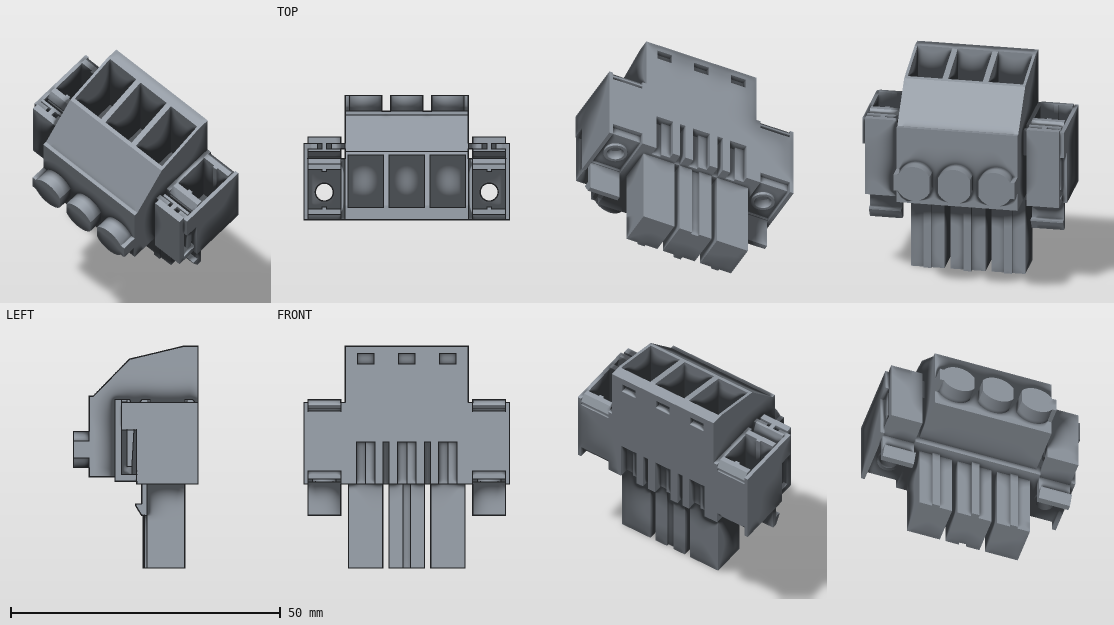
import cadquery as cq


POLE_PITCH = 7.6
POLE_CENTRES = [-POLE_PITCH, 0, POLE_PITCH]

BLOCK_WIDTH = 3 * POLE_PITCH
HEIGHT = 41.15
BLOCK_DEPTH = 20.15
BODY_BOTTOM = 15.55
REAR_BOTTOM = 16.9
BACK_HEIGHT = 31.85
BACK_LEDGE = 0.75
BEND_Y = 12.7
BEND_Z = 38.72
TOP_LAND = 2.6

FUNNEL_WIDTH = 6.55
FUNNEL_FRONT = 2.3
FUNNEL_BACK = 12.0
FUNNEL_FLOOR = 24.7

WINDOW_WIDTH = 3.1
WINDOW_BOTTOM = 37.8
WINDOW_TOP = 39.75
WINDOW_DEPTH = 1.1

OUTER_PLUG_WIDTH = 6.38
MIDDLE_PLUG_WIDTH = 6.63
PLUG_FRONT = 2.43
PLUG_BACK = 9.45
PLUG_KEY_WIDTH = 1.5
PLUG_GROOVE_DEPTH = 0.5
MIDDLE_KEY_HEIGHT = 0.7
OUTER_KEY_HEIGHT = 0.4

SLOT_TOP = 23.4
SLOT_WIDTH = 3.45
SLOT_SHALLOW_DEPTH = 1.3
SLOT_DEEP_DEPTH = 1.9
GAP_INNER_X = MIDDLE_PLUG_WIDTH / 2
GAP_OUTER_X = POLE_PITCH - OUTER_PLUG_WIDTH / 2

WIDTH = 38.1
FLANGE_TOP = 30.7
FLANGE_DEPTH = 11.35
CLIP_WIDTH = 6.1
FLANGE_WALL = 0.75
FLANGE_CENTRE = WIDTH / 2 - FLANGE_WALL - CLIP_WIDTH / 2
NOTCH_TOP = 29.1
NOTCH_BOTTOM = 18.0

LEVER_WALL_FRONT = 13.15
LEVER_WALL_BACK = 14.15
LEVER_WALL_BOTTOM = 25.65
LEVER_SLOT_WIDTH = 2.6

CLIP_TOP = 31.25
CLIP_BOTTOM = 9.75
CLIP_FRONT = 1.0
CLIP_POCKET_FRONT = 2.0
CLIP_POCKET_BACK = 9.3
CLIP_BACK = 10.35
HOOK_CHAMFER_END = 30.0
HOOK_UNDERSIDE = 29.63
CLIP_FLOOR_TOP = 18.0
CLIP_FLOOR_BOTTOM = 16.5
BOSS_BOTTOM = 15.95
BOSS_DIAMETER = 4.4
SCREW_DIAMETER = 3.3
SCREW_Y = 5.15
GUIDE_WIDTH = 0.85
GUIDE_DEPTH = 0.35
LEG_FRONT = 9.45
LEG_BACK = 10.45
BARB_TIP = 11.55
BARB_TOP = 11.9
BARB_LAND = 0.33
LEVER_BACK = 15.4
LEVER_BOTTOM = 16.1
LEVER_FOOT_TOP = 17.32
PAD_TOP_FRONT = 12.67
PAD_NOSE_Y = 11.7
PAD_NOSE_Z = 28.95
PAD_BOTTOM = 18.85
PAD_BOTTOM_FRONT = 12.25

BUTTON_RADIUS = 3.37
BUTTON_FLAT_WIDTH = 6.0
BUTTON_LENGTH = 2.92
BUTTON_Z = 21.97
GUARD_HEIGHT = 3.2


def box(x_range, y_range, z_range):
    """Box between the given limits along each axis."""
    lengths = [high - low for low, high in (x_range, y_range, z_range)]
    corner = (x_range[0], y_range[0], z_range[0])
    return cq.Workplane("XY").box(*lengths, centered=False).translate(corner)


def centred(middle, width):
    """Limits of a span of the given width about its middle."""
    return (middle - width / 2, middle + width / 2)


def extruded_profile(points, x_range):
    """Prism along X over a (Y, Z) outline."""
    prism = cq.Workplane("YZ").polyline(points).close().extrude(x_range[1] - x_range[0])
    return prism.translate((x_range[0], 0, 0))


def z_cylinder(x, y, diameter, z_range):
    disc = cq.Workplane("XY").center(x, y).circle(diameter / 2)
    return disc.extrude(z_range[1] - z_range[0]).translate((0, 0, z_range[0]))



def housing_block():
    outline = [
        (0, BODY_BOTTOM),
        (FLANGE_DEPTH, BODY_BOTTOM),
        (FLANGE_DEPTH, REAR_BOTTOM),
        (BLOCK_DEPTH, REAR_BOTTOM),
        (BLOCK_DEPTH, BACK_HEIGHT),
        (BLOCK_DEPTH - BACK_LEDGE, BACK_HEIGHT),
        (BEND_Y, BEND_Z),
        (TOP_LAND, HEIGHT),
        (0, HEIGHT),
    ]
    return extruded_profile(outline, centred(0, BLOCK_WIDTH))


def plug(x):
    """Downward plug with a key on its back; the middle one is also grooved in front."""
    is_middle = x == 0
    width = MIDDLE_PLUG_WIDTH if is_middle else OUTER_PLUG_WIDTH
    key_height = MIDDLE_KEY_HEIGHT if is_middle else OUTER_KEY_HEIGHT
    z_range = (0, BODY_BOTTOM)
    key_x = centred(x, PLUG_KEY_WIDTH)
    body = box(centred(x, width), (PLUG_FRONT, PLUG_BACK), z_range)
    body = body.union(box(key_x, (PLUG_BACK, PLUG_BACK + key_height), z_range))
    if is_middle:
        body = body.cut(box(key_x, (PLUG_FRONT, PLUG_FRONT + PLUG_GROOVE_DEPTH), z_range))
    return body


def wire_funnel(x):
    return box(centred(x, FUNNEL_WIDTH), (FUNNEL_FRONT, FUNNEL_BACK), (FUNNEL_FLOOR, HEIGHT))


def test_window(x):
    return box(centred(x, WINDOW_WIDTH), (0, WINDOW_DEPTH), (WINDOW_BOTTOM, WINDOW_TOP))


def coding_slot(x):
    """Slot in the lower front face whose left half is deeper."""
    left, right = centred(x, SLOT_WIDTH)
    z_range = (BODY_BOTTOM, SLOT_TOP)
    shallow = box((x, right), (0, SLOT_SHALLOW_DEPTH), z_range)
    deep = box((left, x), (0, SLOT_DEEP_DEPTH), z_range)
    return shallow.union(deep)


def gap_slot(side):
    """Narrow slot above the gap between two plugs."""
    x_range = sorted((side * GAP_INNER_X, side * GAP_OUTER_X))
    return box(x_range, (0, PLUG_FRONT), (BODY_BOTTOM, SLOT_TOP))


def flange(side):
    """Screw flange: a frame open above and below, with a lever wall behind it."""
    x = side * FLANGE_CENTRE
    outer_x = side * WIDTH / 2
    block_x = side * BLOCK_WIDTH / 2
    clip_x = centred(x, CLIP_WIDTH)
    full_x = sorted((block_x, outer_x))
    side_x = sorted((outer_x - side * FLANGE_WALL, outer_x))

    frame = box(full_x, (0, FLANGE_DEPTH), (BODY_BOTTOM, FLANGE_TOP))
    frame = frame.cut(box(clip_x, (CLIP_FRONT, CLIP_BACK), (BODY_BOTTOM, FLANGE_TOP)))
    frame = frame.cut(box(clip_x, (0, FLANGE_DEPTH), (NOTCH_TOP, FLANGE_TOP)))
    frame = frame.cut(box(clip_x, (0, FLANGE_DEPTH), (BODY_BOTTOM, NOTCH_BOTTOM)))

    wall_z = (LEVER_WALL_BOTTOM, FLANGE_TOP)
    wall_y = (LEVER_WALL_FRONT, LEVER_WALL_BACK)
    lever_wall = box(full_x, wall_y, wall_z).cut(box(centred(x, LEVER_SLOT_WIDTH), wall_y, wall_z))
    link = box(side_x, (FLANGE_DEPTH, LEVER_WALL_BACK), wall_z)
    return frame.union(link).union(lever_wall)


def button_guard(side):
    """Small block on the back face beside an outer button."""
    button_edge = side * (POLE_PITCH + BUTTON_FLAT_WIDTH / 2)
    x_range = sorted((button_edge, side * BLOCK_WIDTH / 2))
    y_range = (BLOCK_DEPTH, BLOCK_DEPTH + BUTTON_LENGTH)
    return box(x_range, y_range, centred(BUTTON_Z, GUARD_HEIGHT))


def make_housing():
    housing = housing_block()
    for side in (-1, 1):
        housing = housing.union(flange(side)).union(button_guard(side))
    for x in POLE_CENTRES:
        housing = housing.union(plug(x))
    for x in POLE_CENTRES:
        housing = housing.cut(wire_funnel(x)).cut(test_window(x)).cut(coding_slot(x))
    for side in (-1, 1):
        housing = housing.cut(gap_slot(side))
    return housing



def clip_shell(x_range):
    """Hooked box, barbed leg and thumb lever as one profile."""
    outline = [
        (CLIP_FRONT, CLIP_FLOOR_BOTTOM),
        (CLIP_FRONT, HOOK_UNDERSIDE),
        (0, HOOK_UNDERSIDE),
        (0, HOOK_CHAMFER_END),
        (CLIP_FRONT, CLIP_TOP),
        (CLIP_POCKET_FRONT, CLIP_TOP),
        (CLIP_POCKET_FRONT, CLIP_FLOOR_TOP),
        (CLIP_POCKET_BACK, CLIP_FLOOR_TOP),
        (CLIP_POCKET_BACK, CLIP_TOP),
        (CLIP_BACK, CLIP_TOP),
        (FLANGE_DEPTH, HOOK_CHAMFER_END),
        (FLANGE_DEPTH, HOOK_UNDERSIDE),
        (CLIP_BACK, HOOK_UNDERSIDE),
        (CLIP_BACK, LEVER_FOOT_TOP),
        (LEVER_WALL_BACK, LEVER_FOOT_TOP),
        (LEVER_WALL_BACK, CLIP_TOP),
        (LEVER_BACK, CLIP_TOP),
        (LEVER_BACK, LEVER_BOTTOM),
        (LEG_BACK, LEVER_BOTTOM),
        (LEG_BACK, BARB_TOP),
        (BARB_TIP, BARB_TOP),
        (BARB_TIP, BARB_TOP - BARB_LAND),
        (LEG_BACK, CLIP_BOTTOM),
        (LEG_FRONT, CLIP_BOTTOM),
        (LEG_FRONT, BOSS_BOTTOM),
        (CLIP_POCKET_BACK, BOSS_BOTTOM),
        (CLIP_POCKET_BACK, CLIP_FLOOR_BOTTOM),
    ]
    return extruded_profile(outline, x_range)


def lever_pad(x_range):
    """Tapered pad in front of the lever wall."""
    outline = [
        (PAD_BOTTOM_FRONT, PAD_BOTTOM),
        (PAD_NOSE_Y, PAD_NOSE_Z),
        (PAD_TOP_FRONT, CLIP_TOP),
        (LEVER_WALL_FRONT, CLIP_TOP),
        (LEVER_WALL_FRONT, PAD_BOTTOM),
    ]
    return extruded_profile(outline, x_range)


def make_clip(x):
    clip_x = centred(x, CLIP_WIDTH)
    rib_x = centred(x, GUIDE_WIDTH)
    clip = clip_shell(clip_x).union(lever_pad(clip_x))

    clip = clip.union(box(rib_x, (LEVER_WALL_FRONT, LEVER_WALL_BACK), (LEVER_FOOT_TOP, CLIP_TOP)))
    clip = clip.union(box(rib_x, (PAD_BOTTOM_FRONT, LEVER_WALL_BACK), (LEVER_FOOT_TOP, PAD_BOTTOM)))

    guide_z = (CLIP_FLOOR_TOP, CLIP_TOP)
    clip = clip.union(box(rib_x, (CLIP_POCKET_FRONT, CLIP_POCKET_FRONT + GUIDE_DEPTH), guide_z))
    clip = clip.union(box(rib_x, (CLIP_POCKET_BACK - GUIDE_DEPTH, CLIP_POCKET_BACK), guide_z))

    clip = clip.union(z_cylinder(x, SCREW_Y, BOSS_DIAMETER, (BOSS_BOTTOM, CLIP_FLOOR_TOP)))
    return clip.cut(z_cylinder(x, SCREW_Y, SCREW_DIAMETER, (BOSS_BOTTOM, CLIP_FLOOR_TOP)))



def make_button(x):
    """Round button with two flat sides, standing on the back face."""
    y_range = (BLOCK_DEPTH, BLOCK_DEPTH + BUTTON_LENGTH)
    disc = cq.Workplane("XZ", origin=(x, BLOCK_DEPTH, BUTTON_Z)).circle(BUTTON_RADIUS)
    flats = box(centred(x, BUTTON_FLAT_WIDTH), y_range, centred(BUTTON_Z, 2 * BUTTON_RADIUS))
    return disc.extrude(-BUTTON_LENGTH).intersect(flats)



housing = make_housing()
clips = [make_clip(side * FLANGE_CENTRE) for side in (-1, 1)]
buttons = [make_button(x) for x in POLE_CENTRES]

result = cq.Compound.makeCompound(
    [
        housing.val(),
        *[clip.val() for clip in clips],
        *[button.val() for button in buttons],
    ]
)